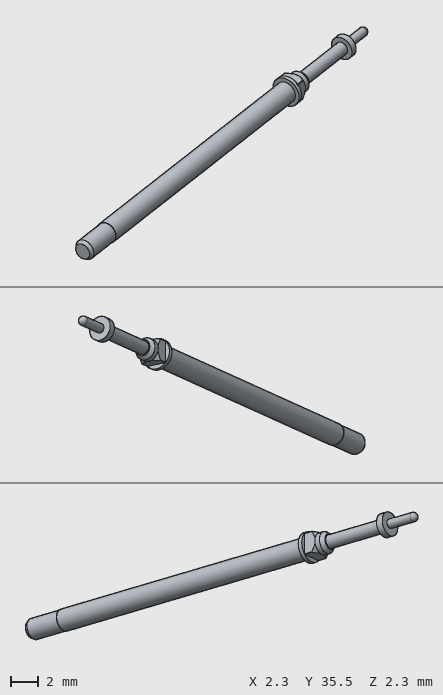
import cadquery as cq

LENGTH = 35.5
STOP_START = 2.5
STOP_END = 3.0
SLEEVE_START = 8.0
SHOULDER_END = 8.3
SQUARE_START = 8.75
FLANGE_START = 9.7
FLANGE_END = 10.0

PIN_DIA = 0.7
STOP_DIA = 1.8
ROD_DIA = 1.03
SLEEVE_MOUTH_DIA = 1.2
SLEEVE_DIA = 1.67
FLANGE_DIA = 2.3

SQUARE_WIDTH = 1.65
SQUARE_CORNER_DIA = 2.27

TAIL_LENGTH = 3.0
TAIL_DIA = 1.6
TAIL_CHAMFER_LENGTH = 0.3
TAIL_CHAMFER_DEPTH = 0.18

TIP_Y = LENGTH / 2


def cone(start, end, start_dia, end_dia):
    """Solid cone along Y between two stations."""
    start_y = TIP_Y - start
    end_y = TIP_Y - end
    return (
        cq.Workplane("XY")
        .moveTo(0, start_y)
        .lineTo(start_dia / 2, start_y)
        .lineTo(end_dia / 2, end_y)
        .lineTo(0, end_y)
        .close()
        .revolve(360, (0, 0, 0), (0, 1, 0))
    )


def cylinder(start, end, dia):
    """Solid cylinder along Y between two stations."""
    return cone(start, end, dia, dia)


def make_plunger():
    """Thin pin with a hemispherical tip, a stop disc and the rod behind it."""
    dome_centre = PIN_DIA / 2
    dome = cq.Workplane("XY").sphere(PIN_DIA / 2).translate((0, TIP_Y - dome_centre, 0))
    pin = cylinder(dome_centre, STOP_START, PIN_DIA)
    stop = cylinder(STOP_START, STOP_END, STOP_DIA)
    rod = cylinder(STOP_END, SLEEVE_START, ROD_DIA)
    return dome.union(pin).union(stop).union(rod)


def make_square_section():
    """Square bar whose corners are bounded by a cylinder with a 45 degree lead-in cone."""
    lead_in_end = SQUARE_START + (SQUARE_CORNER_DIA - SLEEVE_DIA) / 2
    lead_in = cone(SQUARE_START, lead_in_end, SLEEVE_DIA, SQUARE_CORNER_DIA)
    corner_round = cylinder(lead_in_end, FLANGE_START, SQUARE_CORNER_DIA)
    middle_y = TIP_Y - (SQUARE_START + FLANGE_START) / 2
    bar = (
        cq.Workplane("XY")
        .box(SQUARE_WIDTH, FLANGE_START - SQUARE_START, SQUARE_WIDTH)
        .translate((0, middle_y, 0))
    )
    return bar.intersect(lead_in.union(corner_round))


def make_sleeve():
    """Tapered mouth, round neck, square section, flange and long barrel."""
    mouth = cone(SLEEVE_START, SHOULDER_END, SLEEVE_MOUTH_DIA, SLEEVE_DIA)
    neck = cylinder(SHOULDER_END, SQUARE_START, SLEEVE_DIA)
    flange = cylinder(FLANGE_START, FLANGE_END, FLANGE_DIA)
    barrel = cylinder(FLANGE_END, LENGTH - TAIL_LENGTH, SLEEVE_DIA)
    return mouth.union(neck).union(make_square_section()).union(flange).union(barrel)


def make_tail():
    """Reduced end of the barrel, chamfered at its free end."""
    tail = cylinder(LENGTH - TAIL_LENGTH, LENGTH - TAIL_CHAMFER_LENGTH, TAIL_DIA)
    end_dia = TAIL_DIA - 2 * TAIL_CHAMFER_DEPTH
    return tail.union(cone(LENGTH - TAIL_CHAMFER_LENGTH, LENGTH, TAIL_DIA, end_dia))


result = make_plunger().union(make_sleeve()).union(make_tail())